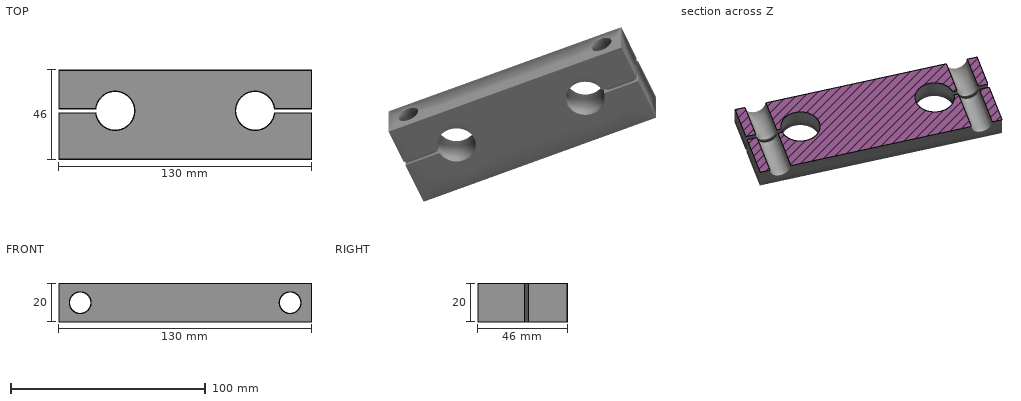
import cadquery as cq

length = 130.0
width = 46.0
height = 20.0

bore_diameter = 20.0
bore_spacing = 72.0
bore_from_front = 25.0
bore_y = bore_from_front - width / 2

slit_width = 2.0
slit_length = (length - bore_spacing) / 2

screw_hole_diameter = 11.0
screw_hole_spacing = 108.0


def make_block():
    return cq.Workplane("XY").box(length, width, height)


def make_shaft_bore(side):
    return (
        cq.Workplane("XY")
        .center(side * bore_spacing / 2, bore_y)
        .circle(bore_diameter / 2)
        .extrude(height, both=True)
    )


def make_slit(side):
    slit_center_x = side * (length - slit_length) / 2
    return (
        cq.Workplane("XY")
        .center(slit_center_x, bore_y)
        .rect(slit_length, slit_width)
        .extrude(height, both=True)
    )


def make_screw_hole(side):
    return (
        cq.Workplane("XZ")
        .center(side * screw_hole_spacing / 2, 0)
        .circle(screw_hole_diameter / 2)
        .extrude(width, both=True)
    )


result = make_block()
for side in (-1, 1):
    result = result.cut(make_shaft_bore(side))
    result = result.cut(make_slit(side))
    result = result.cut(make_screw_hole(side))